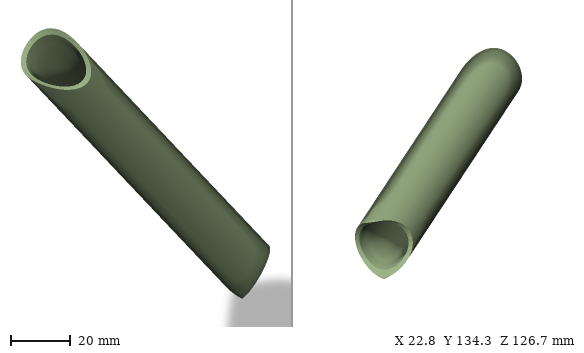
import cadquery as cq

OUTER_RADIUS = 10.01
WALL = 1.5
AXIS = (2.9, -110.2, 99.8)

SADDLE_RADIUS = OUTER_RADIUS
TIP_LIMIT_Y = 4.0

CROSSING_RADIUS = 13.0
CROSSING_HEIGHT = 175.8
CROSSING_TILT = 34.5

CUT_REACH = 53.8

tube_plane = cq.Plane(origin=(0, 0, 0), xDir=(1, 0, 0), normal=AXIS)


def tube_blank():
    """Straight tube running past both finished ends."""
    return (
        cq.Workplane(tube_plane)
        .workplane(offset=-CUT_REACH)
        .circle(OUTER_RADIUS)
        .circle(OUTER_RADIUS - WALL)
        .extrude(CROSSING_HEIGHT + 2 * CUT_REACH)
    )


def lower_end_cutter():
    """Everything below the saddle, including the saddle cylinder itself."""
    saddle = cq.Workplane("YZ").circle(SADDLE_RADIUS).extrude(CUT_REACH, both=True)
    below = (
        cq.Workplane(tube_plane)
        .rect(CUT_REACH, CUT_REACH)
        .extrude(-2 * CUT_REACH)
    )
    past_tip = cq.Workplane("XY").box(
        2 * CUT_REACH, 2 * CUT_REACH, 2 * CUT_REACH
    ).translate((0, TIP_LIMIT_Y + CUT_REACH, 0))
    return below.union(saddle).union(past_tip)


def upper_end_cutter():
    """The oblique crossing cylinder and everything beyond its axis."""
    meeting_point = tube_plane.toWorldCoords((0, 0, CROSSING_HEIGHT))
    crossing_plane = cq.Plane(
        origin=meeting_point, xDir=tube_plane.xDir, normal=tube_plane.zDir
    ).rotated((0, CROSSING_TILT, 0))
    beyond = cq.Workplane(crossing_plane).rect(2 * CUT_REACH, 2 * CUT_REACH).extrude(2 * CUT_REACH)
    crossing = (
        cq.Workplane(crossing_plane)
        .transformed(rotate=(0, 90, 0))
        .circle(CROSSING_RADIUS)
        .extrude(CUT_REACH, both=True)
    )
    return beyond.union(crossing)


result = tube_blank().cut(lower_end_cutter()).cut(upper_end_cutter())